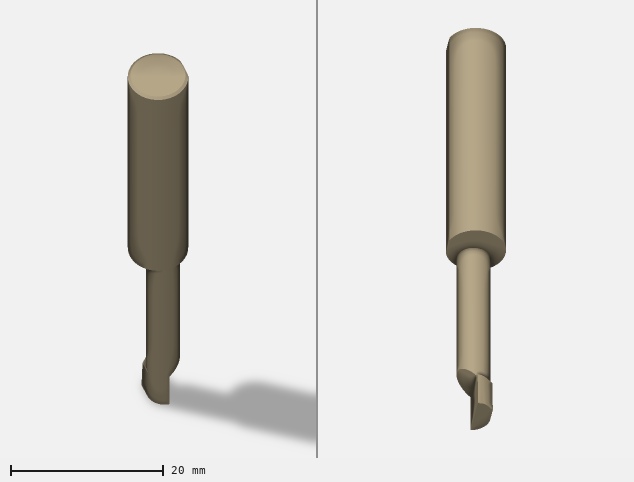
import cadquery as cq

total_height = 63.5
shank_bottom = 28.0

shank_radius = 3.97
flat_distance = 3.715
chamfer_height = 0.25
chamfer_width = 0.4

neck_radius = 2.2
neck_x = shank_radius - neck_radius

relief_bottom = 5.85
relief_rise = 2.0

tip_top = 5.3
cutting_corner = (-1.4, 0.0)
flank_arc_middle = (-1.15, -0.8)
flank_arc_end = (-0.65, -1.5)
heel_corner = (0.05, -neck_radius)
flank_lean = 0.4
nose_chamfer = 0.16

end_rise_x = 0.1
end_rise_y = 0.25


def make_shank():
    length = total_height - shank_bottom
    shank = cq.Workplane("XY").workplane(offset=shank_bottom).circle(shank_radius).extrude(length)
    shank = shank.faces(">Z").edges().chamfer(chamfer_height, chamfer_width)
    flat_cutter = cq.Workplane("XY").box(
        2 * shank_radius, shank_radius, total_height, centered=(True, False, False)
    )
    return shank.cut(flat_cutter.translate((0, flat_distance, 0)))


def make_neck():
    neck = cq.Workplane("XY").center(neck_x, 0).circle(neck_radius).extrude(shank_bottom)
    relief = (
        cq.Workplane("YZ")
        .polyline([
            (0, 0),
            (0, relief_bottom),
            (neck_radius, relief_bottom + relief_rise),
            (2 * neck_radius, relief_bottom + relief_rise),
            (2 * neck_radius, 0),
        ])
        .close()
        .extrude(2 * shank_radius, both=True)
    )
    return neck.cut(relief)


def tip_outline(base, lean):
    def leaning(point):
        return (point[0] - lean, point[1])

    return (
        base.moveTo(*leaning(cutting_corner))
        .threePointArc(leaning(flank_arc_middle), leaning(flank_arc_end))
        .lineTo(*leaning(heel_corner))
        .lineTo(neck_x, -neck_radius)
        .lineTo(neck_x, 0)
        .close()
    )


def make_tip():
    lower = tip_outline(cq.Workplane("XY"), flank_lean)
    return tip_outline(lower.workplane(offset=tip_top), 0).loft(ruled=True)


def make_end_clearance():
    cutter_bottom = -0.65
    nose_x = cutting_corner[0] - flank_lean

    def section(y, rise):
        return (
            cq.Workplane("XZ", origin=(0, y, 0))
            .polyline([
                (nose_x, rise + nose_chamfer),
                (nose_x + nose_chamfer, rise),
                (shank_radius, rise + end_rise_x),
                (shank_radius, cutter_bottom),
                (nose_x, cutter_bottom),
            ])
            .close()
            .wires()
            .val()
        )

    front = section(0, 0)
    back = section(-neck_radius, end_rise_y)
    return cq.Workplane(cq.Solid.makeLoft([front, back], True))


result = make_shank().union(make_neck()).union(make_tip()).cut(make_end_clearance())